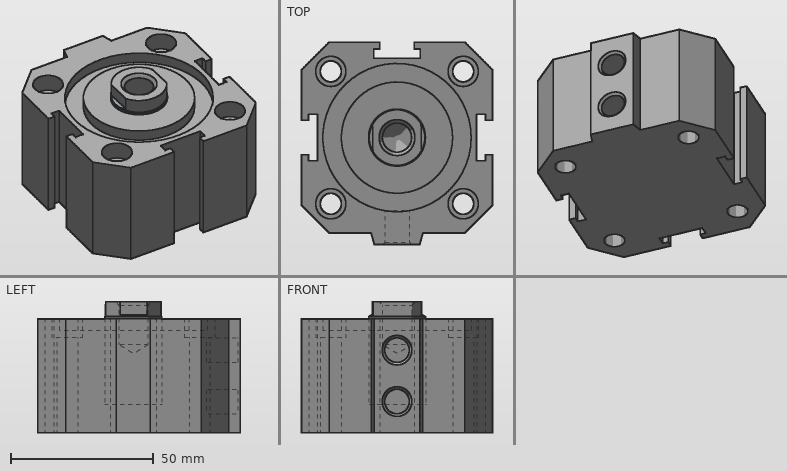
import cadquery as cq
import math

block_width = 67.0
block_height = 40.0
corner_chamfer = 9.75
half_width = block_width / 2

slot_opening = 12.0
slot_inner_width = 16.2
slot_lip = 2.5
slot_depth = 5.6
slot_angles = (0, 90, 180)

rib_base_width = 18.2
rib_tip_width = 16.0
rib_height = 4.0
rib_face_y = -(half_width + rib_height)

port_diameter = 8.6
port_mouth_diameter = 10.4
port_chamfer = (port_mouth_diameter - port_diameter) / 2
port_depth = 12.0
port_end_distance = 11.0
port_heights = (port_end_distance, block_height - port_end_distance)

bolt_spacing = 46.4
bolt_diameter = 7.3
counterbore_diameter = 10.6
counterbore_depth = 6.5

recess_diameter = 52.0
guide_diameter = 39.0
recess_depth = 4.0

rod_diameter = 20.0
rod_neck_diameter = 19.5
rod_top = 46.0
rod_bottom = 10.0
rod_shoulder_z = 40.65
rod_shoulder_chamfer = (rod_diameter - rod_neck_diameter) / 2
rod_turn = 1.2
flat_width = 17.0
flat_bottom_z = 41.5
flat_run_out_z = 40.8

socket_diameter = 10.2
socket_mouth_diameter = 12.6
socket_chamfer = (socket_mouth_diameter - socket_diameter) / 2
socket_depth = 15.0
socket_tip_angle = 118.0
socket_tip_depth = socket_diameter / 2 / math.tan(math.radians(socket_tip_angle / 2))


def make_port(height):
    """Blind port running in +Y from the rib face, with a chamfered mouth."""
    radius = port_diameter / 2
    mouth_radius = port_mouth_diameter / 2
    profile = (
        cq.Workplane("XY")
        .polyline([
            (0, 0),
            (mouth_radius, 0),
            (radius, port_chamfer),
            (radius, port_depth),
            (0, port_depth),
        ])
        .close()
    )
    port = profile.revolve(360, (0, 0, 0), (0, 1, 0))
    return port.translate((0, rib_face_y, height))


def make_t_slot(angle):
    """T-slot cutter for the +X side, turned about Z to the given angle."""
    inner_depth = slot_depth - slot_lip
    mouth = cq.Workplane("XY").box(slot_depth, slot_opening, block_height, centered=(False, True, False))
    head = cq.Workplane("XY").box(inner_depth, slot_inner_width, block_height, centered=(False, True, False))
    slot = mouth.union(head).translate((half_width - slot_depth, 0, 0))
    return slot.rotate((0, 0, 0), (0, 0, 1), angle)


def make_housing():
    block = (
        cq.Workplane("XY")
        .rect(block_width, block_width)
        .extrude(block_height)
        .edges("|Z")
        .chamfer(corner_chamfer)
    )
    rib = (
        cq.Workplane("XY")
        .polyline([
            (-rib_base_width / 2, -half_width),
            (-rib_tip_width / 2, rib_face_y),
            (rib_tip_width / 2, rib_face_y),
            (rib_base_width / 2, -half_width),
        ])
        .close()
        .extrude(block_height)
    )
    housing = block.union(rib)

    for angle in slot_angles:
        housing = housing.cut(make_t_slot(angle))

    for height in port_heights:
        housing = housing.cut(make_port(height))

    housing = (
        housing.faces(">Z")
        .workplane(origin=(0, 0, block_height))
        .rect(bolt_spacing, bolt_spacing, forConstruction=True)
        .vertices()
        .cboreHole(bolt_diameter, counterbore_diameter, counterbore_depth)
    )

    recess = (
        cq.Workplane("XY", origin=(0, 0, block_height - recess_depth))
        .circle(recess_diameter / 2)
        .circle(guide_diameter / 2)
        .extrude(recess_depth)
    )
    rod_bore = (
        cq.Workplane("XY", origin=(0, 0, rod_bottom))
        .circle(rod_diameter / 2)
        .extrude(block_height - rod_bottom)
    )
    return housing.cut(recess).cut(rod_bore)


def make_wrench_flat():
    """Cutter for the +X wrench flat, whose lower end slopes out to the rod surface."""
    inner_x = flat_width / 2
    outer_x = rod_diameter / 2
    return (
        cq.Workplane("XZ")
        .polyline([
            (inner_x, rod_top),
            (inner_x, flat_bottom_z),
            (outer_x, flat_run_out_z),
            (outer_x, rod_top),
        ])
        .close()
        .extrude(rod_diameter / 2, both=True)
    )


def make_rod():
    rod = (
        cq.Workplane("XZ")
        .polyline([
            (0, rod_bottom),
            (rod_diameter / 2, rod_bottom),
            (rod_diameter / 2, rod_shoulder_z),
            (rod_neck_diameter / 2, rod_shoulder_z + rod_shoulder_chamfer),
            (rod_neck_diameter / 2, rod_top),
            (socket_mouth_diameter / 2, rod_top),
            (socket_diameter / 2, rod_top - socket_chamfer),
            (socket_diameter / 2, rod_top - socket_depth),
            (0, rod_top - socket_depth - socket_tip_depth),
        ])
        .close()
        .revolve(360, (0, 0, 0), (0, 1, 0))
    )
    for angle in (0, 180):
        rod = rod.cut(make_wrench_flat().rotate((0, 0, 0), (0, 0, 1), angle + rod_turn))
    return rod


housing = make_housing()
rod = make_rod()

result = cq.Compound.makeCompound([housing.val(), rod.val()])